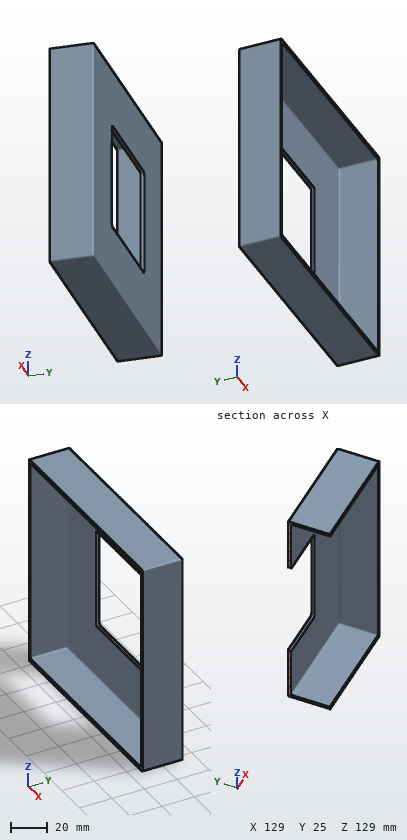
import cadquery as cq

side = 129.0
depth = 25.0
wall = 1.9
floor_thickness = 2.0
edge_radius = 1.0
window_side = 60.9
window_radius = 1.5

cavity_side = side - 2 * wall
cavity_depth = depth - floor_thickness


def square_block(width, length, corner_radius):
    """Square block with rounded corners, running from the open front (Y = 0) towards +Y."""
    block = cq.Workplane("XZ").rect(width, width).extrude(-length)
    return block.edges("|Y").fillet(corner_radius)


body = square_block(side, depth, edge_radius).faces(">Y").edges().fillet(edge_radius)

cavity = square_block(cavity_side, cavity_depth, edge_radius).faces(">Y").edges().fillet(edge_radius)

window = square_block(window_side, depth, window_radius)

result = body.cut(cavity).cut(window)